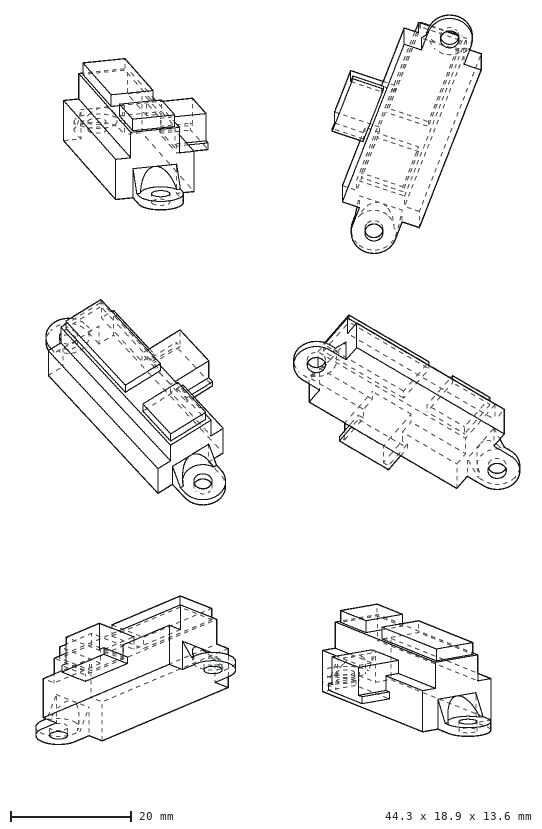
import cadquery as cq

overall_length = 44.3
overall_depth = 18.95
overall_height = 13.6

body_length = 30.05
body_depth = 13.55
body_height = 7.1

upper_depth = 8.4
upper_offset_y = 0.05
upper_top = 11.55

lens_depth = 7.25
lens_margin = 0.65
large_lens_length = 16.3
small_lens_length = 7.6

connector_width = 7.9
connector_bottom = 3.35
connector_top = 9.35
flange_width = 10.0
flange_thickness = 1.2

ear_width = 7.55
ear_thickness = 1.5
ear_hole_diameter = 3.0
gusset_top = 5.15
gusset_reach = 2.15

body_end = body_length / 2
ear_center = overall_length / 2 - ear_width / 2
screw_clearance_radius = ear_center - body_end
connector_end = overall_depth - body_depth / 2


def block(x_range, y_range, z_range):
    """Box given by its lower and upper limits along each axis."""
    low, high = zip(x_range, y_range, z_range)
    size = [b - a for a, b in zip(low, high)]
    return cq.Workplane("XY").box(*size, centered=False).translate(low)


def centered_range(width, center=0.0):
    return (center - width / 2, center + width / 2)


def make_housing():
    """Wide lower body with the narrower upper block on it."""
    x_range = centered_range(body_length)
    lower = block(x_range, centered_range(body_depth), (0, body_height))
    upper = block(x_range, centered_range(upper_depth, upper_offset_y), (0, upper_top))
    return lower.union(upper)


def make_lenses():
    """Two raised rectangular lenses, one near each end of the upper block."""
    outer_x = body_end - lens_margin
    y_range = centered_range(lens_depth)
    z_range = (body_height, overall_height)
    large = block((-outer_x, -outer_x + large_lens_length), y_range, z_range)
    small = block((outer_x - small_lens_length, outer_x), y_range, z_range)
    return large.union(small)


def make_connector():
    """Connector at the back, with a wider flange along its bottom."""
    y_range = (0, connector_end)
    shell = block(centered_range(connector_width), y_range, (connector_bottom, connector_top))
    flange_z = (connector_bottom, connector_bottom + flange_thickness)
    flange = block(centered_range(flange_width), y_range, flange_z)
    return shell.union(flange)


def make_right_ear():
    """Rounded mounting ear with a sloped gusset scooped out around the screw."""
    gusset = (
        cq.Workplane("XZ")
        .moveTo(body_end, 0)
        .lineTo(body_end + gusset_reach, 0)
        .lineTo(body_end + gusset_reach, ear_thickness)
        .lineTo(body_end, gusset_top)
        .close()
        .extrude(ear_width / 2, both=True)
    )
    scoop = (
        cq.Workplane("XY", origin=(ear_center, 0, ear_thickness))
        .circle(screw_clearance_radius)
        .extrude(gusset_top)
    )
    tab = block((0, ear_center), centered_range(ear_width), (0, ear_thickness))
    tip = cq.Workplane("XY").center(ear_center, 0).circle(ear_width / 2).extrude(ear_thickness)
    hole = cq.Workplane("XY").center(ear_center, 0).circle(ear_hole_diameter / 2).extrude(ear_thickness)
    return gusset.cut(scoop).union(tab).union(tip).cut(hole)


right_ear = make_right_ear()
left_ear = right_ear.mirror("YZ")

result = (
    make_housing()
    .union(make_lenses())
    .union(make_connector())
    .union(right_ear)
    .union(left_ear)
)